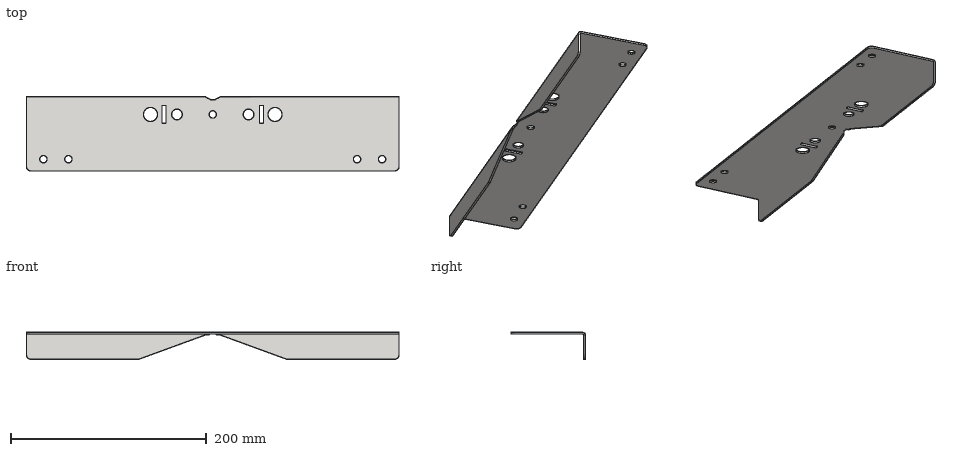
import cadquery as cq

length = 381.0
depth = 76.2
height = 28.0
thickness = 2.02
bend_radius = 3.0
corner_radius = 5.0

relief_bottom_width = 151.5
relief_fold_width = 16.0
relief_tip_width = 4.5

upper_row_offset = 18.3
center_hole_diameter = 7.2
small_hole_diameter = 10.5
small_hole_x = 36.5
large_hole_diameter = 14.0
large_hole_x = 63.5
slot_x = 50.0
slot_width = 4.0
slot_length = 18.0

mounting_hole_diameter = 7.2
mounting_hole_edge_offset = 12.2
mounting_hole_x = (147.5, 173.0)

front_y = -depth / 2
back_y = depth / 2
upper_row_y = back_y - upper_row_offset
mounting_row_y = front_y + mounting_hole_edge_offset


def make_folded_sheet():
    """Make the L-shaped sheet with concentric fold radii and rounded free corners."""
    outside = (
        cq.Workplane("XY")
        .box(length, depth, height)
        .translate((0, 0, -height / 2))
        .edges("|X and >Y and >Z")
        .fillet(bend_radius)
    )
    inside = (
        cq.Workplane("XY")
        .box(length, depth, height)
        .translate((0, -thickness, -height / 2 - thickness))
        .edges("|X and >Y and >Z")
        .fillet(bend_radius - thickness)
    )
    sheet = outside.cut(inside)
    sheet = sheet.edges("|Z and <Y").fillet(corner_radius)
    flange_corners = sheet.faces("<Z").edges("|Y and (<X or >X)")
    return flange_corners.fillet(corner_radius)


def make_trapezoid(plane, base_width, tip_width, base_position, tip_position, extent):
    """Make a prism whose outline is symmetric about the part's centerline."""
    outline = [
        (-base_width / 2, base_position),
        (base_width / 2, base_position),
        (tip_width / 2, tip_position),
        (-tip_width / 2, tip_position),
    ]
    return cq.Workplane(plane).polyline(outline).close().extrude(extent)


def make_relief():
    """Make the wide flange opening and the small notch through the fold."""
    flange_opening = make_trapezoid(
        "XZ", relief_bottom_width, relief_fold_width, -height, -bend_radius, -back_y
    )
    fold_notch = make_trapezoid(
        "XY", relief_fold_width, relief_tip_width, back_y, back_y - bend_radius, -bend_radius
    )
    return flange_opening.union(fold_notch)


def make_round_holes(positions, diameter):
    """Make cutters for round holes through the plate."""
    return cq.Workplane("XY").pushPoints(positions).circle(diameter / 2).extrude(-bend_radius)


def mirrored_positions(x, y):
    return [(-x, y), (x, y)]


result = make_folded_sheet().cut(make_relief())

result = result.cut(make_round_holes([(0, upper_row_y)], center_hole_diameter))
for hole_x, diameter in (
    (small_hole_x, small_hole_diameter),
    (large_hole_x, large_hole_diameter),
):
    result = result.cut(make_round_holes(mirrored_positions(hole_x, upper_row_y), diameter))

slots = (
    cq.Workplane("XY")
    .pushPoints(mirrored_positions(slot_x, upper_row_y))
    .rect(slot_width, slot_length)
    .extrude(-bend_radius)
)
result = result.cut(slots)

for hole_x in mounting_hole_x:
    positions = mirrored_positions(hole_x, mounting_row_y)
    result = result.cut(make_round_holes(positions, mounting_hole_diameter))